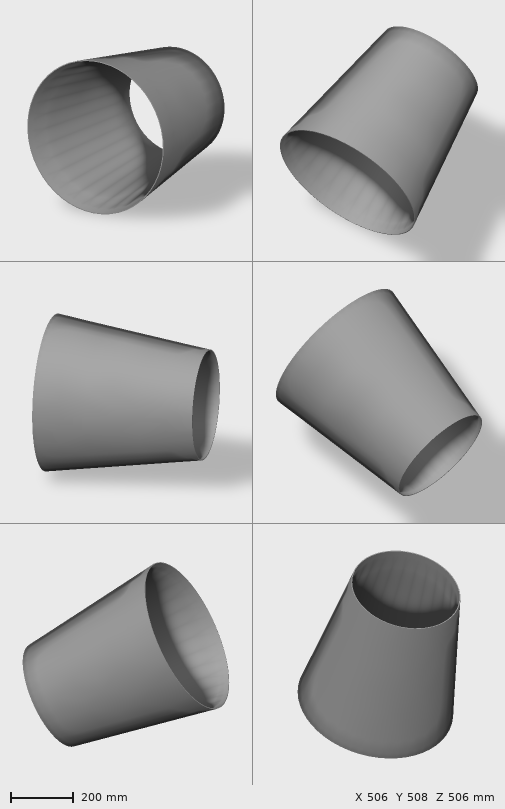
import cadquery as cq
import math

length = 508.0
large_diameter = 506.0
small_diameter = 355.0
wall = 3.0

large_radius = large_diameter / 2
small_radius = small_diameter / 2

slope = math.atan2(large_radius - small_radius, length)
rim_inset = wall * math.cos(slope)
rim_offset = wall * math.sin(slope)

wall_section = (
    cq.Workplane("XY")
    .moveTo(large_radius, rim_offset)
    .lineTo(small_radius, length)
    .lineTo(small_radius - rim_inset, length - rim_offset)
    .lineTo(large_radius - rim_inset, 0)
    .close()
)

result = wall_section.revolve(360, (0, 0, 0), (0, 1, 0))